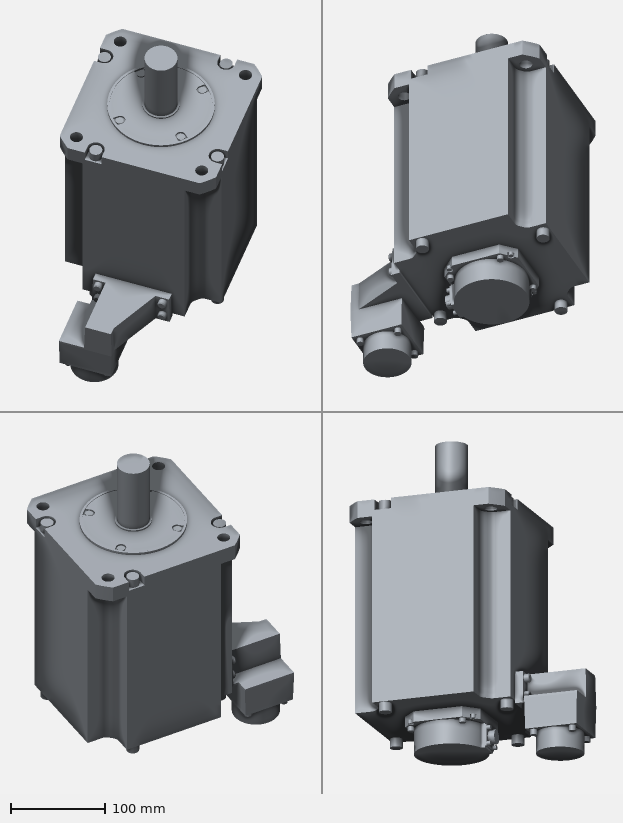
import cadquery as cq
import math


motor_width = 176.0
half_width = motor_width / 2
body_height = 225.5
flange_thickness = 18.5
flange_corner_radius = 115.0
mounting_hole_spacing = 141.0
mounting_hole_offset = mounting_hole_spacing / 2
mounting_hole_radius = 7.0
notch_depth = 30.5
notch_fillet_radius = 10.0

bolt_radius = 7.0
bolt_edge_offset = 8.5
bolt_side_offset = 45.5
bolt_recess_radius = 9.5
bolt_recess_depth = 11.5
bolt_head_drop = 1.0
bolt_tail = 10.0

shaft_radius = 17.5
shaft_length = 78.7
collar_radius = 19.5
collar_height = 4.0
pilot_radius = 57.2
pilot_height = 3.0
pilot_rim_width = 2.5
pilot_rim_height = 0.7
pilot_slot_circle = 48.0
pilot_screw_circle = 49.0
pilot_slot_radius = 5.5
pilot_slot_depth = 3.0
pilot_screw_radius = 4.5
pilot_screw_height = 1.5

encoder_base_width = 85.3
encoder_base_chamfer = 15.3
encoder_base_height = 11.5
encoder_radius = 40.0
encoder_depth = 38.5
base_pocket_radius = 4.0
base_pocket_top = 7.3
base_screw_radius = 2.5
base_screw_x = 36.8
base_screw_y = -33.0
cover_screw_radius = 3.5
cover_screw_height = 4.7
cover_screw_x = 26.0
cover_screw_y = -36.5

socket_plate_width = 24.0
socket_block_front = 42.3
socket_plate_front = 43.7
socket_plate_top = 12.8
socket_plate_bottom = 36.5
socket_radius = 7.5
socket_front = 51.0
socket_screw_radius = 2.5
socket_screw_front = 47.7
socket_screw_offset = 8.7

connector_reach = 75.5
connector_front = half_width + connector_reach
parting_depth = 3.5
draft_angle = 1.5
connector_top = 31.7
connector_plate_half_width = 43.7
connector_plate_thickness = 9.5
mounting_trim = 3.5
web_left = 29.5
web_foot_right = 28.0
web_nose_right = 1.5
web_nose_length = 9.5
housing_left = 58.0
housing_gap = 15.5
housing_back = half_width + housing_gap
housing_top_lip = 2.5
housing_depth = 34.3
connector_screw_radius = 4.7
connector_screw_height = 5.0
connector_screw_chamfer = 1.0
connector_screw_x = 36.0
connector_screw_levels = (6.2, 25.0)
end_plate_thickness = 3.3
plug_diameter = 51.5
plug_depth = 60.0
plug_screw_offset = 22.0
plug_screw_diameter = 7.5
plug_screw_height = 6.0


def cylinder(radius, bottom, top, x=0, y=0):
    """Vertical cylinder between two levels."""
    return cq.Workplane("XY", origin=(x, y, bottom)).circle(radius).extrude(top - bottom)


def cylinder_toward_front(radius, back, front, x, z):
    """Cylinder along -Y between two distances in front of the motor axis."""
    return cq.Workplane("XZ", origin=(x, -back, z)).circle(radius).extrude(front - back)


def box(x_min, x_max, y_min, y_max, z_min, z_max):
    """Box given by its limits."""
    return cq.Workplane("XY").box(
        x_max - x_min, y_max - y_min, z_max - z_min, centered=False
    ).translate((x_min, y_min, z_min))


def quarter_turns(shape):
    """The shape repeated at four quarter turns about the motor axis."""
    copies = shape
    for turn in range(1, 4):
        copies = copies.union(shape.rotate((0, 0, 0), (0, 0, 1), 90 * turn))
    return copies


def corner_notch():
    """Corner relief of the body: a square notch whose inner corner is two arcs and a 45 degree flat."""
    wall = half_width - notch_depth
    arc_center = wall + notch_fillet_radius
    arc_start = mounting_hole_offset
    diagonal = notch_fillet_radius * math.sqrt(0.5)
    mid_arc = math.radians(45) / 2
    bend = notch_fillet_radius * math.sin(mid_arc)
    rise = notch_fillet_radius * math.cos(mid_arc)
    return (
        cq.Workplane("XY")
        .moveTo(half_width, half_width)
        .lineTo(half_width, wall)
        .lineTo(arc_start, wall)
        .threePointArc((arc_start - bend, arc_center - rise), (arc_start - diagonal, arc_center - diagonal))
        .lineTo(arc_center - diagonal, arc_start - diagonal)
        .threePointArc((arc_center - rise, arc_start - bend), (wall, arc_start))
        .lineTo(wall, half_width)
        .close()
        .extrude(body_height - flange_thickness)
    )


def motor_body():
    """Square body with relieved corners under a flange with rounded corners."""
    block = cq.Workplane("XY").rect(motor_width, motor_width).extrude(body_height)
    block = block.intersect(cylinder(flange_corner_radius, 0, body_height))
    block = block.cut(quarter_turns(corner_notch()))
    hole = cylinder(mounting_hole_radius, 0, body_height, mounting_hole_offset, mounting_hole_offset)
    return block.cut(quarter_turns(hole))


def add_through_bolts(body):
    """Bolts in open recesses at the flange edges, with their ends standing out below."""
    bolt_x = half_width - bolt_edge_offset
    floor = body_height - bolt_recess_depth
    recess = cylinder(bolt_recess_radius, floor, body_height, bolt_x, -bolt_side_offset).union(
        box(
            bolt_x, half_width,
            -bolt_side_offset - bolt_recess_radius, -bolt_side_offset + bolt_recess_radius,
            floor, body_height,
        )
    )
    bolt = cylinder(bolt_radius, -bolt_tail, body_height - bolt_head_drop, bolt_x, -bolt_side_offset)
    return body.cut(quarter_turns(recess)).union(quarter_turns(bolt))


def pilot_and_shaft():
    """Pilot disc with a low rim and recessed screws, shaft collar and shaft."""
    top = body_height + pilot_height
    inner_radius = pilot_radius - pilot_rim_width
    disc = cylinder(pilot_radius, body_height, top)
    disc = disc.cut(cylinder(inner_radius, top - pilot_rim_height, top))
    slot_floor = top - pilot_slot_depth
    slot = cylinder(pilot_slot_radius, slot_floor, top, pilot_slot_circle).union(
        box(pilot_slot_circle, pilot_radius, -pilot_slot_radius, pilot_slot_radius, slot_floor, top)
    )
    slot = slot.intersect(cylinder(inner_radius, slot_floor, top))
    screw = cylinder(pilot_screw_radius, slot_floor, slot_floor + pilot_screw_height, pilot_screw_circle)
    diagonal_slot = slot.rotate((0, 0, 0), (0, 0, 1), 45)
    diagonal_screw = screw.rotate((0, 0, 0), (0, 0, 1), 45)
    disc = disc.cut(quarter_turns(diagonal_slot)).union(quarter_turns(diagonal_screw))
    collar = cylinder(collar_radius, body_height, body_height + collar_height)
    shaft = cylinder(shaft_radius, body_height, body_height + shaft_length)
    return disc.union(collar).union(shaft)


def encoder():
    """Round encoder cover on an eight-sided base, with base screws in corner pockets and cover screws."""
    base = (
        cq.Workplane("XY").rect(encoder_base_width, encoder_base_width).extrude(-encoder_base_height)
        .edges("|Z").chamfer(encoder_base_chamfer)
    )
    cover = cylinder(encoder_radius, -encoder_depth, 0)
    pocket = cylinder(
        base_pocket_radius, -encoder_base_height, -base_pocket_top, base_screw_x, base_screw_y
    )
    base_screw = cylinder(
        base_screw_radius, -encoder_base_height, -base_pocket_top, base_screw_x, base_screw_y
    )
    cover_screw = cylinder(
        cover_screw_radius, -encoder_base_height - cover_screw_height, -encoder_base_height,
        cover_screw_x, cover_screw_y,
    )
    base = base.cut(quarter_turns(pocket)).union(quarter_turns(base_screw.union(cover_screw)))
    return base.union(cover)


def signal_socket():
    """Block and thin plate on the encoder with a round socket and four screws."""
    half_plate = socket_plate_width / 2
    block = box(-half_plate, half_plate, -socket_block_front, 0, -encoder_depth, -encoder_base_height)
    plate = box(
        -half_plate, half_plate, -socket_plate_front, -socket_block_front,
        -socket_plate_bottom, -socket_plate_top,
    )
    center_z = -(socket_plate_bottom + socket_plate_top) / 2
    socket = block.union(plate)
    socket = socket.union(cylinder_toward_front(socket_radius, 0, socket_front, 0, center_z))
    for side in (-1, 1):
        for level in (-1, 1):
            socket = socket.union(
                cylinder_toward_front(
                    socket_screw_radius, 0, socket_screw_front,
                    side * socket_screw_offset, center_z + level * socket_screw_offset,
                )
            )
    return socket


def connector_elbow():
    """Drafted upper half of the power connector: screw plate and a web narrowing to the front."""
    plate_front = half_width + connector_plate_thickness
    height = connector_top + parting_depth
    parting = cq.Workplane("XY", origin=(0, 0, -parting_depth))
    inside = half_width - mounting_trim
    plate = (
        parting
        .moveTo(-connector_plate_half_width, -inside)
        .lineTo(connector_plate_half_width, -inside)
        .lineTo(connector_plate_half_width, -plate_front)
        .lineTo(-connector_plate_half_width, -plate_front)
        .close()
        .extrude(height, taper=draft_angle)
    )
    web = (
        parting
        .moveTo(-web_left, -inside)
        .lineTo(web_foot_right, -inside)
        .lineTo(web_foot_right, -plate_front)
        .lineTo(web_nose_right, -connector_front + web_nose_length)
        .lineTo(web_nose_right, -connector_front)
        .lineTo(-web_left, -connector_front)
        .close()
        .extrude(height, taper=draft_angle)
    )
    trim = box(
        -connector_plate_half_width, connector_plate_half_width, -half_width, -inside,
        -parting_depth, connector_top,
    )
    elbow = plate.union(web).cut(trim)
    for side in (-1, 1):
        for level in connector_screw_levels:
            screw = cylinder_toward_front(
                connector_screw_radius, half_width, plate_front + connector_screw_height,
                side * connector_screw_x, level,
            )
            elbow = elbow.union(screw.faces("<Y").chamfer(connector_screw_chamfer))
    return elbow


def connector_housing():
    """Drafted lower half of the power connector with its end plate, plug and plug screws."""
    center_x = (web_nose_right - housing_left) / 2
    center_y = -(housing_back + connector_front) / 2
    width = web_nose_right + housing_left
    length = connector_front - housing_back
    parting = cq.Workplane("XY", origin=(center_x, center_y, -parting_depth))
    drafted_height = housing_depth - parting_depth
    housing = parting.rect(width, length).extrude(-drafted_height, taper=draft_angle)
    lip = parting.rect(width, length).extrude(housing_top_lip, taper=draft_angle)
    shoulder = box(
        -connector_plate_half_width, -web_left,
        center_y, -half_width - connector_plate_thickness,
        -parting_depth, -parting_depth + housing_top_lip,
    )
    inset = 2 * drafted_height * math.tan(math.radians(draft_angle))
    plate_bottom = -housing_depth - end_plate_thickness
    end_plate = (
        cq.Workplane("XY", origin=(center_x, center_y, plate_bottom))
        .rect(width - inset, length - inset)
        .extrude(end_plate_thickness)
    )
    plug = cylinder(plug_diameter / 2, -plug_depth, plate_bottom, center_x, center_y)
    unit = housing.union(lip).union(shoulder).union(end_plate).union(plug)
    screw = cylinder(
        plug_screw_diameter / 2, plate_bottom - plug_screw_height, plate_bottom,
        plug_screw_offset, plug_screw_offset,
    )
    return unit.union(quarter_turns(screw).translate((center_x, center_y, 0)))


result = (
    add_through_bolts(motor_body())
    .union(pilot_and_shaft())
    .union(encoder())
    .union(signal_socket())
    .union(connector_elbow())
    .union(connector_housing())
)